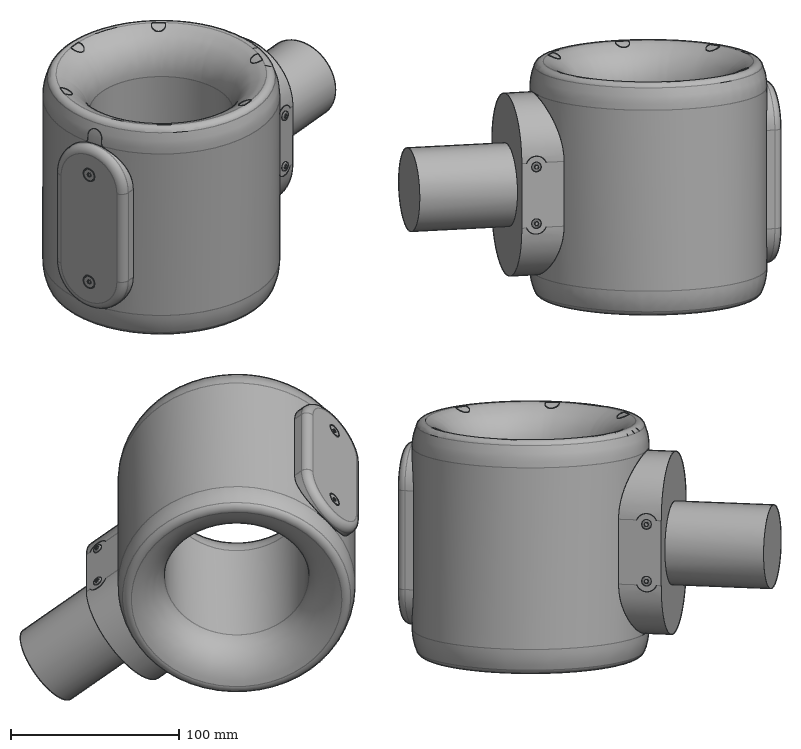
import cadquery as cq
import math

overall_length = 223.2

ring_radius = 141.0 / 2
ring_height = 141.3
bore_radius = 86.0 / 2
shoulder_start = 55.0
shoulder_radius = 33.5
crest_radius = 4.5
flare_radius = 26.8

tube_diameter = 50.0
tube_end = 147.0
neck_width = 70.5
neck_height = 2 * shoulder_start
neck_end = 87.0
attach_depth = 55.8

pad_width = tube_diameter
pad_height = neck_height
pad_face = overall_length - tube_end
pad_fillet = 5.0

pad_screw_offset = 36.4
pad_screw_hole_diameter = 8.5
pad_screw_head_diameter = 7.5
pad_screw_gap_depth = 1.8

socket_sides = 6
socket_size = 2.7
socket_depth = 1.0

side_screw_y = 78.1
side_screw_z = 17.2
side_screw_diameter = 5.8
side_screw_height = 1.1
side_screw_fillet = 0.7
lobe_radius = 6.5
lobe_depth = 4.5

mark_depth = 0.2
notch_diameter = 8.5
notch_distance = 60.7
notch_angles = (0, 54, 126, 180, 234, 306)
tab_radius = 5.0
tab_top = 64.5
tab_blend_radius = 3.3

crest_height = ring_height / 2 - crest_radius
shoulder_center = (ring_radius - shoulder_radius, shoulder_start)
crest_center = (
    shoulder_center[0]
    + math.sqrt((shoulder_radius - crest_radius) ** 2 - (crest_height - shoulder_start) ** 2),
    crest_height,
)
flare_center_radius = bore_radius + flare_radius
flare_center = (
    flare_center_radius,
    crest_height
    - math.sqrt((flare_radius - crest_radius) ** 2 - (flare_center_radius - crest_center[0]) ** 2),
)
shoulder_angle = math.atan2(crest_height - shoulder_start, crest_center[0] - shoulder_center[0])
flare_angle = math.atan2(crest_height - flare_center[1], crest_center[0] - flare_center[0])
rim_radius = crest_center[0] + crest_radius * math.cos(flare_angle)


def polar(center, radius, angle):
    return (center[0] + radius * math.cos(angle), center[1] + radius * math.sin(angle))


def middle(a, b):
    return (a + b) / 2


def flip(point):
    return (point[0], -point[1])


def ring(inset):
    """Ring with its whole surface moved inwards by inset."""
    shoulder = shoulder_radius - inset
    crest = crest_radius - inset
    flare = flare_radius - inset
    wall_top = polar(shoulder_center, shoulder, 0)
    shoulder_mid = polar(shoulder_center, shoulder, shoulder_angle / 2)
    crest_outer = polar(crest_center, crest, shoulder_angle)
    crest_mid = polar(crest_center, crest, middle(shoulder_angle, flare_angle))
    crest_inner = polar(crest_center, crest, flare_angle)
    flare_mid = polar(flare_center, flare, middle(flare_angle, math.pi))
    bore_top = polar(flare_center, flare, math.pi)
    profile = (
        cq.Workplane("XZ")
        .moveTo(*flip(wall_top))
        .lineTo(*wall_top)
        .threePointArc(shoulder_mid, crest_outer)
        .threePointArc(crest_mid, crest_inner)
        .threePointArc(flare_mid, bore_top)
        .lineTo(*flip(bore_top))
        .threePointArc(flip(flare_mid), flip(crest_inner))
        .threePointArc(flip(crest_mid), flip(crest_outer))
        .threePointArc(flip(shoulder_mid), flip(wall_top))
        .close()
    )
    return profile.revolve(360, (0, 0, 0), (0, 1, 0))


def upright_slot(width, height, start, end):
    """Vertical slot shape in the XZ plane, reaching from Y = start to Y = end."""
    return (
        cq.Workplane("XZ", origin=(0, start, 0))
        .slot2D(height, width, 90)
        .extrude(start - end)
    )


def notch_marks():
    """D-shaped outlines around the upper bell mouth, cut off at the rim."""
    pins = cq.Workplane("XY")
    for angle in notch_angles:
        x, y = polar((0, 0), notch_distance, math.radians(angle))
        pins = pins.union(
            cq.Workplane("XY").center(x, y).circle(notch_diameter / 2).extrude(ring_height / 2)
        )
    return pins.intersect(cq.Workplane("XY").circle(rim_radius).extrude(ring_height / 2))


def tab_mark():
    """Round-ended tab above the pad, blended into the pad outline."""
    tab_center = tab_top - tab_radius
    pad_radius = pad_width / 2
    pad_center = (pad_height - pad_width) / 2
    blend_x = tab_radius + tab_blend_radius
    blend_z = pad_center + math.sqrt((pad_radius + tab_blend_radius) ** 2 - blend_x ** 2)
    pad_angle = math.atan2(blend_z - pad_center, blend_x)
    foot_x, foot_z = polar((0, pad_center), pad_radius, pad_angle)
    mid_x, mid_z = polar((blend_x, blend_z), tab_blend_radius, math.pi + pad_angle / 2)
    return (
        cq.Workplane("XZ", origin=(0, -rim_radius, 0))
        .moveTo(-foot_x, foot_z)
        .threePointArc((-mid_x, mid_z), (-tab_radius, blend_z))
        .lineTo(-tab_radius, tab_center)
        .threePointArc((0, tab_top), (tab_radius, tab_center))
        .lineTo(tab_radius, blend_z)
        .threePointArc((mid_x, mid_z), (foot_x, foot_z))
        .close()
        .extrude(pad_face - rim_radius)
    )


def pad():
    """Cover pad with rounded edge and two sunk screws, each ringed by a gap."""
    body = upright_slot(pad_width, pad_height, -attach_depth, -pad_face)
    body = body.faces("<Y").edges().fillet(pad_fillet)
    face = cq.Workplane("XZ", origin=(0, -pad_face, 0))
    screws = face.pushPoints([(0, pad_screw_offset), (0, -pad_screw_offset)])
    gaps = (
        screws.circle(pad_screw_hole_diameter / 2)
        .circle(pad_screw_head_diameter / 2)
        .extrude(-pad_screw_gap_depth)
    )
    sockets = screws.polygon(socket_sides, socket_size).extrude(-socket_depth)
    return body.cut(gaps).cut(sockets)


def side_screw(z):
    """Flat lobe and button-head screw on the -X side of the neck."""
    flank = cq.Workplane("YZ", origin=(-neck_width / 2, side_screw_y, z))
    lobe = flank.circle(lobe_radius).extrude(lobe_depth)
    head = flank.circle(side_screw_diameter / 2).extrude(-side_screw_height)
    head = head.faces("<X").edges().fillet(side_screw_fillet)
    socket = (
        flank.workplane(offset=-side_screw_height)
        .polygon(socket_sides, socket_size)
        .extrude(socket_depth)
    )
    return lobe.union(head.cut(socket))


housing = ring(0)
skin = housing.cut(ring(mark_depth))
housing = housing.cut(skin.intersect(notch_marks()))
housing = housing.cut(skin.intersect(tab_mark()))

neck = upright_slot(neck_width, neck_height, attach_depth, neck_end)
tube = (
    cq.Workplane("XZ", origin=(0, attach_depth, 0))
    .circle(tube_diameter / 2)
    .extrude(attach_depth - tube_end)
)
result = housing.union(neck).union(tube).union(pad())

for z in (-side_screw_z, side_screw_z):
    screw = side_screw(z)
    result = result.union(screw).union(screw.mirror("YZ"))